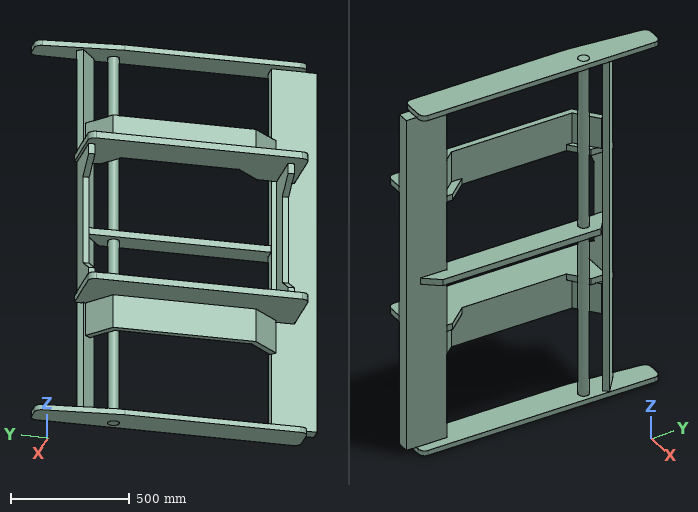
import cadquery as cq
import math

HEIGHT = 1710.0
DEPTH = 385.0
WIDTH = 1230.0

PLATE_T = 25.0
PLATE_FRONT_X = 225.0
PLATE_BACK_X = 371.0
PLATE_NEAR_Y = 50.0
PLATE_TAPER_Y = 850.0
PLATE_TIP_X = 262.0
CORNER_R = 30.0

POST_HEIGHT = HEIGHT - 2 * PLATE_T
NEAR_POST_X = 265.0
NEAR_POST_DEPTH = 60.0
NEAR_POST_WIDTH = 200.0
NEAR_POST_BACK_X = NEAR_POST_X + NEAR_POST_DEPTH

FAR_POST_X = 260.0
FAR_POST_Y = 1023.0
FAR_POST_WIDTH = 113.0
FAR_POST_T = 30.0
FAR_POST_ANGLE = 38.0

PIN_D = 50.0
PIN_X = 323.0
PIN_Y = 875.0

CROSS_T = 30.0
CROSS_FRONT_X = 274.0
CROSS_NOSE_Y = 145.0
CROSS_NOSE_ANGLE = 52.0

SHELF_T = 30.0
SHELF_TOP_Z = 340.0
SHELF_NEAR_Y = 101.0
SHELF_LENGTH = 960.0
SHELF_FAR_Y = SHELF_NEAR_Y + SHELF_LENGTH
SHELF_BOTTOM_Z = SHELF_TOP_Z - SHELF_T
SHELF_EDGE_NEAR_Y = 363.0
SHELF_EDGE_FAR_Y = 877.0

GUARD_T = 30.0
GUARD_X = 149.0
GUARD_HEIGHT = 150.0
GUARD_BEND_NEAR_Y = 298.0
GUARD_BEND_FAR_Y = 920.0
NEAR_ARM_LENGTH = 149.0
NEAR_ARM_ANGLE = 49.0
FAR_ARM_LENGTH = 145.0
FAR_ARM_ANGLE = 39.5
GUARD_BACK_X = GUARD_X + GUARD_T

BRACKET_T = 27.0
NEAR_BRACKET_Y = 150.0
FAR_BRACKET_Y = 1021.0
BRACKET_TOE_X = 63.0
BRACKET_WEB_X = 166.0
BRACKET_TOE_Z = 263.0
BRACKET_WEB_Z = 198.0


def slope(angle):
    return math.tan(math.radians(angle))


def prism(points, bottom_z, height):
    return cq.Workplane("XY").workplane(offset=bottom_z).polyline(points).close().extrude(height)


def pin_cylinder():
    base = cq.Workplane("XY").workplane(offset=-HEIGHT / 2)
    return base.center(PIN_X, PIN_Y).circle(PIN_D / 2).extrude(HEIGHT)


def make_end_plate(bottom_z):
    outline = [
        (PLATE_BACK_X, PLATE_NEAR_Y),
        (PLATE_BACK_X, WIDTH),
        (PLATE_TIP_X, WIDTH),
        (PLATE_FRONT_X, PLATE_TAPER_Y),
        (PLATE_FRONT_X, PLATE_NEAR_Y),
    ]
    plate = prism(outline, bottom_z, PLATE_T)
    plate = plate.edges("|Z").edges("<Y or >Y").fillet(CORNER_R)
    return plate.cut(pin_cylinder())


def make_near_post():
    size = (NEAR_POST_DEPTH, NEAR_POST_WIDTH, POST_HEIGHT)
    post = cq.Workplane("XY").box(*size, centered=(False, False, True))
    return post.translate((NEAR_POST_X, 0, 0))


def make_far_post():
    post = cq.Workplane("XY").box(FAR_POST_WIDTH, FAR_POST_T, POST_HEIGHT, centered=(False, False, True))
    post = post.rotate((0, 0, 0), (0, 0, 1), -FAR_POST_ANGLE)
    return post.translate((FAR_POST_X, FAR_POST_Y, 0))


def far_post_face_y(x):
    """Y of the far post's front face plane at a given X."""
    return FAR_POST_Y - (x - FAR_POST_X) * slope(FAR_POST_ANGLE)


def make_cross_plate():
    nose_drop = (DEPTH - NEAR_POST_BACK_X) * slope(CROSS_NOSE_ANGLE)
    outline = [
        (CROSS_FRONT_X, NEAR_POST_WIDTH),
        (NEAR_POST_BACK_X, NEAR_POST_WIDTH),
        (NEAR_POST_BACK_X, CROSS_NOSE_Y - nose_drop),
        (DEPTH, CROSS_NOSE_Y),
        (DEPTH, far_post_face_y(DEPTH)),
        (CROSS_FRONT_X, far_post_face_y(CROSS_FRONT_X)),
    ]
    return prism(outline, -CROSS_T / 2, CROSS_T).cut(pin_cylinder())


def make_shelf():
    diagonal_depth = NEAR_POST_X - GUARD_BACK_X
    outline = [
        (0, SHELF_NEAR_Y),
        (NEAR_POST_X, SHELF_NEAR_Y),
        (NEAR_POST_X, SHELF_EDGE_NEAR_Y - diagonal_depth * slope(NEAR_ARM_ANGLE)),
        (GUARD_BACK_X, SHELF_EDGE_NEAR_Y),
        (GUARD_BACK_X, SHELF_EDGE_FAR_Y),
        (NEAR_POST_X, SHELF_EDGE_FAR_Y + diagonal_depth * slope(FAR_ARM_ANGLE)),
        (NEAR_POST_X, SHELF_FAR_Y),
        (0, SHELF_FAR_Y),
    ]
    return prism(outline, SHELF_BOTTOM_Z, SHELF_T).edges("|Z and <X").fillet(CORNER_R)


def arm_points(bend_y, length, angle, side):
    """Outer bend, outer tip, inner tip and inner bend of an arm; side is -1 (near) or +1 (far)."""
    turn = math.radians(angle)
    tip_x = GUARD_X + length * math.cos(turn)
    tip_y = bend_y + side * length * math.sin(turn)
    return [
        (GUARD_X, bend_y),
        (tip_x, tip_y),
        (tip_x + GUARD_T * math.sin(turn), tip_y - side * GUARD_T * math.cos(turn)),
        (GUARD_BACK_X, bend_y - side * GUARD_T * math.tan((math.pi / 2 - turn) / 2)),
    ]


def make_guard():
    near_arm = arm_points(GUARD_BEND_NEAR_Y, NEAR_ARM_LENGTH, NEAR_ARM_ANGLE, -1)
    far_arm = arm_points(GUARD_BEND_FAR_Y, FAR_ARM_LENGTH, FAR_ARM_ANGLE, 1)
    return prism(near_arm + far_arm[::-1], SHELF_TOP_Z, GUARD_HEIGHT)


def make_bracket(near_y):
    outline = [
        (NEAR_POST_X, -SHELF_BOTTOM_Z),
        (BRACKET_TOE_X, -SHELF_BOTTOM_Z),
        (BRACKET_TOE_X, -BRACKET_TOE_Z),
        (BRACKET_WEB_X, -BRACKET_WEB_Z),
        (BRACKET_WEB_X, BRACKET_WEB_Z),
        (BRACKET_TOE_X, BRACKET_TOE_Z),
        (BRACKET_TOE_X, SHELF_BOTTOM_Z),
        (NEAR_POST_X, SHELF_BOTTOM_Z),
    ]
    bracket = cq.Workplane("XZ").polyline(outline).close().extrude(-BRACKET_T)
    return bracket.translate((0, near_y, 0))


def make_carrier(far_post):
    """Two guarded shelves welded to two brackets, notched to fit against the far post."""
    upper_half = make_shelf().union(make_guard())
    carrier = upper_half.union(upper_half.mirror("XY"))
    for near_y in (NEAR_BRACKET_Y, FAR_BRACKET_Y):
        carrier = carrier.union(make_bracket(near_y))
    return carrier.cut(far_post)


end_plates = [make_end_plate(z) for z in (-HEIGHT / 2, HEIGHT / 2 - PLATE_T)]
near_post = make_near_post()
far_post = make_far_post()
pin = pin_cylinder()
cross_plate = make_cross_plate()
carrier = make_carrier(far_post)

result = cq.Compound.makeCompound(
    [
        *[plate.val() for plate in end_plates],
        near_post.val(),
        far_post.val(),
        pin.val(),
        cross_plate.val(),
        carrier.val(),
    ]
)